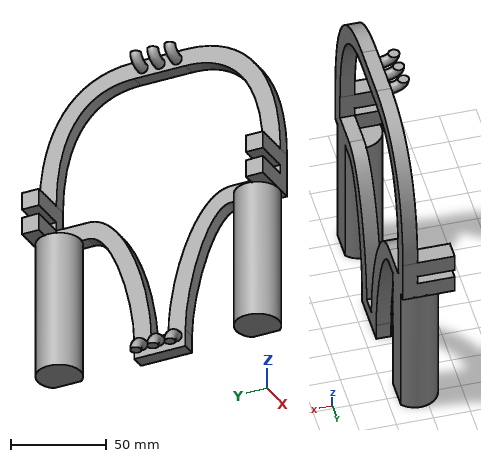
import cadquery as cq

frame_width = 141.36
frame_height = 180.0
frame_depth = 8.0
bar_width = 10.0
half_width = frame_width / 2

crown_half_length = 15.0
bracket_top = 105.0
outer_shoulder_handles = (35.5, 48.0)
inner_shoulder_handles = (31.0, 40.5)

strap_top = 90.0
strap_bottom = strap_top - bar_width
base_half_length = 15.0
base_gap_half = base_half_length - bar_width
strap_bend_start = 42.0
upper_strap_handles = (21.5, 32.5)
lower_strap_handles = (14.5, 24.5)

bracket_reach = 20.07
slot_height = 5.0
slot_bottom = strap_top

post_diameter = 25.0
post_front = -14.0
post_height = strap_bottom

hook_diameter = 6.0
hook_spacing = 10.0
hook_reach = 8.0
crown_hook_rise = 5.0
crown_hook_root = frame_height - crown_hook_rise
base_hook_root = 7.0
hook_embed = 2.0
ellipse_handle = 0.5523


def box(x_range, y_range, z_range):
    """Box spanning the given (low, high) limits on each axis."""
    lows, highs = zip(x_range, y_range, z_range)
    sizes = [high - low for low, high in zip(lows, highs)]
    return cq.Workplane("XY").box(*sizes, centered=False).translate(lows)


def both_sides(shape):
    """The shape together with its mirror image across the XZ plane."""
    return shape.union(shape.mirror("XZ"))


def bend(top_point, side_point, handles):
    """Bezier control points leaving top_point along Y and reaching side_point along Z."""
    top_y, top_z = top_point
    side_y, side_z = side_point
    run, rise = handles
    direction = 1 if side_y > top_y else -1
    return [
        top_point,
        (top_y + direction * run, top_z),
        (side_y, side_z + rise),
        side_point,
    ]


def arch():
    crown_underside = frame_height - bar_width
    inner_side = half_width - bar_width
    outer = bend((crown_half_length, frame_height), (half_width, bracket_top), outer_shoulder_handles)
    inner = bend((crown_half_length, crown_underside), (inner_side, bracket_top), inner_shoulder_handles)
    shoulder = (
        cq.Workplane("YZ")
        .moveTo(*outer[0])
        .bezier(outer)
        .lineTo(*inner[-1])
        .bezier(inner[::-1])
        .close()
        .extrude(frame_depth)
    )
    crown = box(
        (0, frame_depth),
        (-crown_half_length, crown_half_length),
        (crown_underside, frame_height),
    )
    return both_sides(shoulder).union(crown)


def straps():
    upper = bend((strap_bend_start, strap_top), (base_gap_half, bar_width), upper_strap_handles)
    lower = bend((strap_bend_start, strap_bottom), (base_half_length, bar_width), lower_strap_handles)
    strap = (
        cq.Workplane("YZ")
        .moveTo(half_width, strap_top)
        .lineTo(*upper[0])
        .bezier(upper)
        .lineTo(*lower[-1])
        .bezier(lower[::-1])
        .lineTo(half_width, strap_bottom)
        .close()
        .extrude(frame_depth)
    )
    base = box((0, frame_depth), (-base_half_length, base_half_length), (0, bar_width))
    return both_sides(strap).union(base)


def brackets():
    side = (half_width - bar_width, half_width)
    body = box((-bracket_reach, frame_depth), side, (strap_bottom, bracket_top))
    slot = box((-bracket_reach, 0), side, (slot_bottom, slot_bottom + slot_height))
    return both_sides(body.cut(slot))


def posts():
    radius = post_diameter / 2
    post = (
        cq.Workplane("XY")
        .center(post_front + radius, half_width - radius)
        .circle(radius)
        .extrude(post_height)
    )
    behind_frame = box(
        (frame_depth, frame_depth + post_diameter),
        (0, half_width),
        (0, post_height),
    )
    return both_sides(post.cut(behind_frame))


def hook(tip_z, root_z):
    """Round bar swept along a quarter ellipse from a level tip back into the frame."""
    climb = root_z - tip_z
    tip = (-hook_reach, tip_z)
    path = (
        cq.Workplane("XZ")
        .moveTo(*tip)
        .bezier(
            [
                tip,
                (-hook_reach, tip_z + ellipse_handle * climb),
                (-ellipse_handle * hook_reach, root_z),
                (0, root_z),
            ]
        )
        .lineTo(hook_embed, root_z)
    )
    section = cq.Workplane("XY", origin=(-hook_reach, 0, tip_z)).circle(hook_diameter / 2)
    return section.sweep(path)


def hooks():
    crown_hook = hook(frame_height, crown_hook_root)
    base_hook = hook(0, base_hook_root)
    row = cq.Workplane("XY")
    for index in (-1, 0, 1):
        for single in (crown_hook, base_hook):
            row = row.union(single.translate((0, index * hook_spacing, 0)))
    return row


result = arch().union(straps()).union(brackets()).union(posts()).union(hooks())